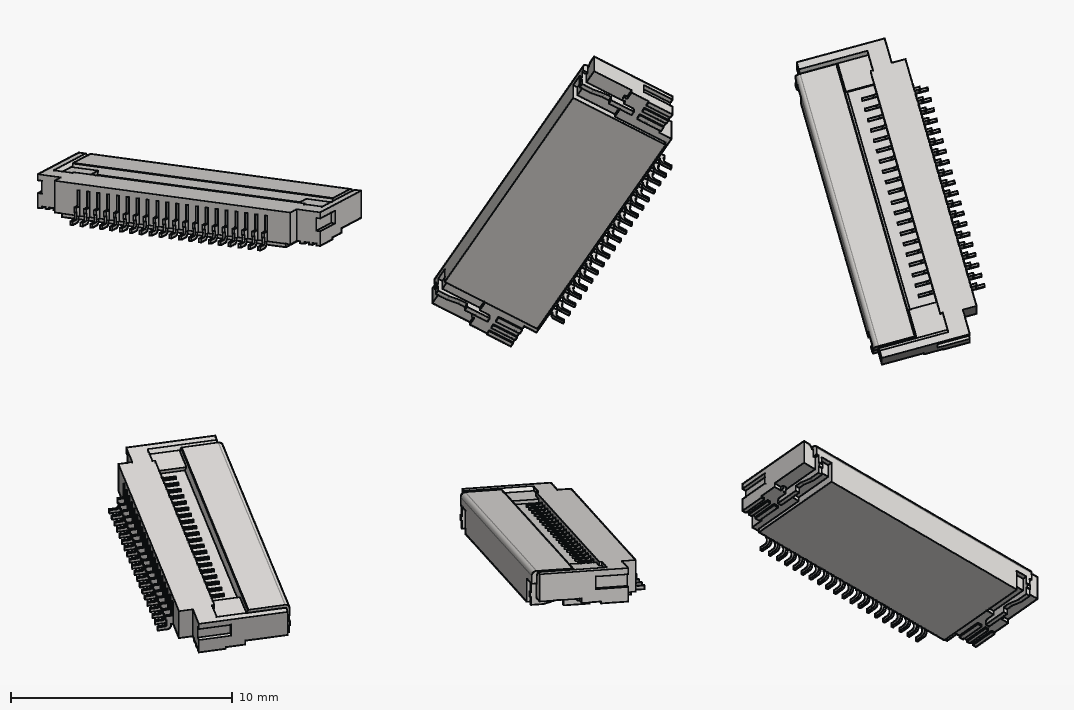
import cadquery as cq


width = 14.3
top_z = 1.75
wing_front_y = -4.13
nose_half_width = 5.97
nose_front_y = -4.775
rear_underside_z = 0.47
underside_z = 0.26
underside_step_y = -1.97
half_width = width / 2

base_half_width = 5.67
base_bottom_z = 0.05
base_front_y = -4.64

pad_bottom_z = 0.17
pad_rear_y = -2.87
keel_span = (6.58, 6.76)
pad_spans = [(6.95, half_width), keel_span, (6.12, 6.36)]
keel_rear_y = -1.83
keel_radius = 0.08

recess_depth = 0.2
recess_rear_y = -2.62
recess_bottom_z = 0.86
recess_top_z = 1.46

opening_half_width = 6.8
opening_wall_lean = 0.16
opening_front_y = -3.22
ledge_half_width = 5.85
ledge_front_y = -3.1
ear_floor_z = 1.57
well_half_width = 5.27
well_floor_z = 1.4

lid_half_width = 6.58
lid_rear_y = 0.225
lid_rear_radius = 0.22
lid_bottom_z = 1.15
lid_edge_chamfer = 0.03
lid_top_front_y = -1.69
lid_foot_y = -1.85

contact_count = 20
pitch = 0.5
contact_width = 0.12
contact_face_y = -4.81
contact_top_z = 1.46
tail_root_y = -4.86
tail_front_y = -5.06
tail_tip_y = -5.485
tail_thickness = 0.17
head_front_y = -5.11
head_top_z = 0.72
head_bottom_z = 0.5
head_radius = 0.06
tail_inner_radius = 0.12
tail_outer_radius = 0.2
tip_rear_y = -2.39
tip_bend_y = -2.92
tip_height = 0.08

hold_down_inner_x = 6.26
hold_down_outer_x = 6.47
hold_down_rear_y = 0.265
bump_bottom_z = 0.5
bump_top_z = 0.73
arm_bottom_z = 0.13
arm_rise_start_y = -0.35
arm_rise_end_y = -0.95
arm_raised_z = 0.28
foot_rear_y = -1.3
foot_front_y = -2.5
foot_chamfer = 0.07


def block(x_span, y_span, z_span):
    """Axis-aligned box between two limits on each axis."""
    sizes = [abs(b - a) for a, b in (x_span, y_span, z_span)]
    corner = [min(span) for span in (x_span, y_span, z_span)]
    return cq.Workplane("XY").box(*sizes, centered=False).translate(tuple(corner))


def side_prism(points, x_span):
    """Solid with the given (y, z) outline, extruded along X between two limits."""
    start, end = x_span
    return cq.Workplane("YZ", origin=(start, 0, 0)).polyline(points).close().extrude(end - start)


def both_sides(solid):
    """The solid together with its mirror image across the plane X = 0."""
    return solid.union(solid.mirror("YZ"))


def centred(half):
    return (-half, half)


def make_housing():
    wings = side_prism(
        [
            (0, top_z),
            (0, rear_underside_z),
            (underside_step_y, rear_underside_z),
            (underside_step_y, underside_z),
            (wing_front_y, underside_z),
            (wing_front_y, top_z),
        ],
        centred(half_width),
    )
    nose = block(centred(nose_half_width), (nose_front_y, wing_front_y), (underside_z, top_z))
    base = block(centred(base_half_width), (base_front_y, lid_rear_y), (base_bottom_z, lid_bottom_z))
    return wings.union(nose).union(base)


def make_pads():
    pads = block(keel_span, (underside_step_y, keel_rear_y), (underside_z, rear_underside_z))
    pads = pads.edges(">Y and <Z").fillet(keel_radius)
    for span in pad_spans:
        pads = pads.union(block(span, (wing_front_y, pad_rear_y), (pad_bottom_z, underside_z)))
    return both_sides(pads)


def make_side_recesses():
    return both_sides(
        block(
            (half_width - recess_depth, half_width),
            (wing_front_y, recess_rear_y),
            (recess_bottom_z, recess_top_z),
        )
    )


def make_ear_pocket(half, front_y):
    """Pocket down to the ear floor, open at the rear, with side walls leaning inwards."""
    floor_half = half - opening_wall_lean
    outline = [(-half, top_z), (half, top_z), (floor_half, ear_floor_z), (-floor_half, ear_floor_z)]
    return cq.Workplane("XZ").polyline(outline).close().extrude(-front_y)


def make_opening():
    ledge = block(centred(ledge_half_width), (opening_front_y, ledge_front_y), (ear_floor_z, top_z))
    well = block(centred(well_half_width), (ledge_front_y, lid_top_front_y), (well_floor_z, top_z))
    return make_ear_pocket(opening_half_width, opening_front_y).cut(ledge).union(well)


def make_lid():
    """Lid with a rounded rear edge and a front face leaning down to the floor of the well."""
    plate = side_prism(
        [
            (lid_rear_y, lid_bottom_z),
            (lid_rear_y, top_z),
            (lid_top_front_y, top_z),
            (lid_top_front_y - lid_edge_chamfer, top_z - lid_edge_chamfer),
            (lid_foot_y, well_floor_z),
            (lid_foot_y, lid_bottom_z),
        ],
        centred(lid_half_width),
    )
    return plate.edges(">Y and >Z").fillet(lid_rear_radius)


def round_corner(solid, y, z, radius):
    """Fillet the edge parallel to X that passes through the point (y, z)."""
    return solid.edges(cq.selectors.NearestToPointSelector((0, y, z))).fillet(radius)


def make_tail():
    """Contact part outside the nose: upright strip, head, and a foot bent forward."""
    tail = side_prism(
        [
            (base_front_y, contact_top_z),
            (contact_face_y, contact_top_z),
            (contact_face_y, head_top_z),
            (head_front_y, head_top_z),
            (head_front_y, head_bottom_z),
            (tail_front_y, head_bottom_z),
            (tail_front_y, tail_thickness),
            (tail_tip_y, tail_thickness),
            (tail_tip_y, 0),
            (tail_root_y, 0),
            (tail_root_y, underside_z),
            (base_front_y, underside_z),
        ],
        centred(contact_width / 2),
    )
    tail = round_corner(tail, contact_face_y, head_top_z, head_radius)
    tail = round_corner(tail, tail_front_y, tail_thickness, tail_inner_radius)
    return round_corner(tail, tail_root_y, 0, tail_outer_radius)


def make_tip():
    """Contact tip raised above the floor of the well, rising again beside the ledge."""
    return side_prism(
        [
            (tip_rear_y, well_floor_z),
            (tip_rear_y, well_floor_z + tip_height),
            (tip_bend_y, well_floor_z + tip_height),
            (ledge_front_y, well_floor_z + 2 * tip_height),
            (ledge_front_y, well_floor_z),
        ],
        centred(contact_width / 2),
    )


def make_hold_downs():
    """Thin metal plates beside the base, each with a rear bump and a foot on the board."""
    plate = side_prism(
        [
            (0, lid_bottom_z),
            (lid_rear_y, lid_bottom_z),
            (lid_rear_y, bump_top_z),
            (hold_down_rear_y, bump_top_z),
            (hold_down_rear_y, bump_bottom_z),
            (lid_rear_y, bump_bottom_z),
            (lid_rear_y, arm_bottom_z),
            (arm_rise_start_y, arm_bottom_z),
            (arm_rise_end_y, arm_raised_z),
            (foot_rear_y, arm_raised_z),
            (foot_rear_y, 0),
            (foot_front_y, 0),
            (foot_front_y, underside_z - foot_chamfer),
            (foot_front_y + foot_chamfer, underside_z),
            (underside_step_y, rear_underside_z),
            (0, rear_underside_z),
        ],
        (hold_down_inner_x, hold_down_outer_x),
    )
    return both_sides(plate)


result = make_housing().union(make_pads()).cut(make_side_recesses()).cut(make_opening())
result = result.union(make_lid()).union(make_hold_downs())

contact = make_tail().union(make_tip())
for index in range(contact_count):
    contact_x = (index - (contact_count - 1) / 2) * pitch
    result = result.union(contact.translate((contact_x, 0, 0)))